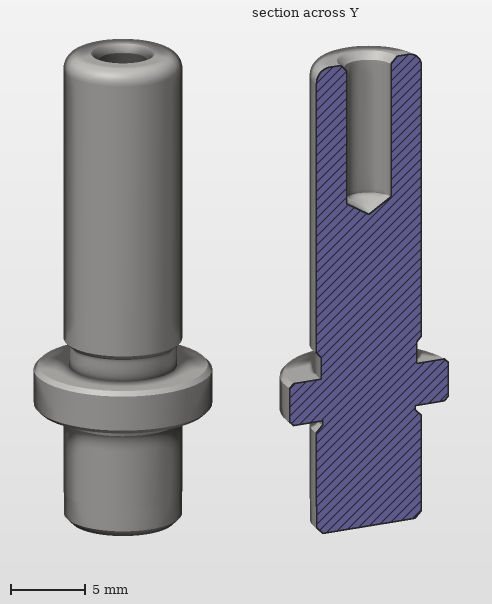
import cadquery as cq
import math

total_height = 33.0
pin_radius = 4.0
top_rounding = 1.02

collar_radius = 6.0
collar_bottom = 8.0
collar_height = 3.0
collar_chamfer = 0.3
collar_top = collar_bottom + collar_height

upper_neck_radius = 3.63
upper_neck_height = 1.52
upper_neck_chamfer = pin_radius - upper_neck_radius

lower_neck_radius = 3.53
lower_neck_height = 0.3
lower_neck_chamfer = pin_radius - lower_neck_radius

lead_reduction = 0.01
lead_radius = pin_radius - lead_reduction
lead_height = 2.05
lead_chamfer = 0.5

hole_radius = 1.65
hole_depth = 9.9
drill_point_angle = 118.0
countersink_radius = 2.15


def cylinder(radius, bottom, top):
    return cq.Workplane("XY").workplane(offset=bottom).circle(radius).extrude(top - bottom)


def lower_shank():
    shank_top = collar_bottom - lower_neck_height
    lead = cylinder(lead_radius, 0, lead_height).faces("<Z").chamfer(lead_chamfer)
    shank = cylinder(pin_radius, lead_height, shank_top).faces(">Z").chamfer(lower_neck_chamfer)
    neck = cylinder(lower_neck_radius, shank_top, collar_bottom)
    return lead.union(shank).union(neck)


def collar():
    disc = cylinder(collar_radius, collar_bottom, collar_top)
    return disc.edges("%CIRCLE").chamfer(collar_chamfer)


def guide_pin():
    guide_bottom = collar_top + upper_neck_height
    neck = cylinder(upper_neck_radius, collar_top, guide_bottom)
    guide = cylinder(pin_radius, guide_bottom, total_height)
    guide = guide.faces("<Z").chamfer(upper_neck_chamfer)
    guide = guide.faces(">Z").edges().fillet(top_rounding)
    return neck.union(guide)


def top_hole():
    countersink_depth = countersink_radius - hole_radius
    point_depth = hole_radius / math.tan(math.radians(drill_point_angle / 2))
    bore_bottom = total_height - hole_depth
    profile = (
        cq.Workplane("XZ")
        .moveTo(0, total_height)
        .lineTo(countersink_radius, total_height)
        .lineTo(hole_radius, total_height - countersink_depth)
        .lineTo(hole_radius, bore_bottom)
        .lineTo(0, bore_bottom - point_depth)
        .close()
    )
    return profile.revolve(360, (0, 0, 0), (0, 1, 0))


result = lower_shank().union(collar()).union(guide_pin()).cut(top_hole())